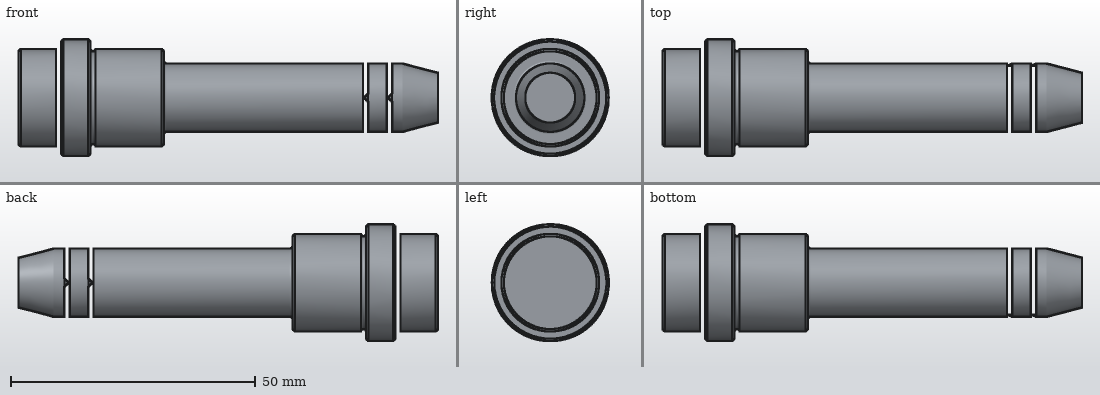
import cadquery as cq

total_length = 86.0
body_radius = 20.0 / 2
flange_radius = 24.0 / 2
shank_radius = 14.0 / 2
tip_radius = 10.2 / 2

flange_start = 8.8
flange_end = 14.8
body_end = 29.8
taper_start = 78.8
shank_groove_starts = (70.6, 75.5)

groove_width = 1.0
groove_radius = groove_width / 2
edge_chamfer = 0.5
root_fillet = 0.5
selection_margin = 0.1


def cylinder(start, end, radius):
    """Solid cylinder along X between two stations."""
    return cq.Workplane("YZ", origin=(start, 0, 0)).circle(radius).extrude(end - start)


def round_groove(start, surface_radius):
    """Ring that cuts a half-round groove into a cylindrical surface."""
    return (
        cq.Workplane("XY")
        .center(start + groove_radius, surface_radius)
        .circle(groove_radius)
        .revolve(360, (0, -surface_radius, 0), (1, -surface_radius, 0))
    )


body = cylinder(0, body_end, body_radius).faces("<X or >X").chamfer(edge_chamfer)

for groove_start in (flange_start - groove_width, flange_end):
    body = body.cut(round_groove(groove_start, body_radius))

flange = cylinder(flange_start, flange_end, flange_radius).faces("<X or >X").chamfer(edge_chamfer)

tip = (
    cq.Workplane("XY")
    .moveTo(taper_start, 0)
    .lineTo(taper_start, shank_radius)
    .lineTo(total_length, tip_radius)
    .lineTo(total_length, 0)
    .close()
    .revolve(360, (0, 0, 0), (1, 0, 0))
)
shank = cylinder(body_end, taper_start, shank_radius).union(tip)
for groove_start in shank_groove_starts:
    shank = shank.cut(round_groove(groove_start, shank_radius))

root_edge = cq.selectors.BoxSelector(
    (body_end - selection_margin, -shank_radius - selection_margin, -shank_radius - selection_margin),
    (body_end + selection_margin, shank_radius + selection_margin, shank_radius + selection_margin),
    boundingbox=True,
)
pin = body.union(shank).edges(root_edge).fillet(root_fillet)

result = pin.union(flange)